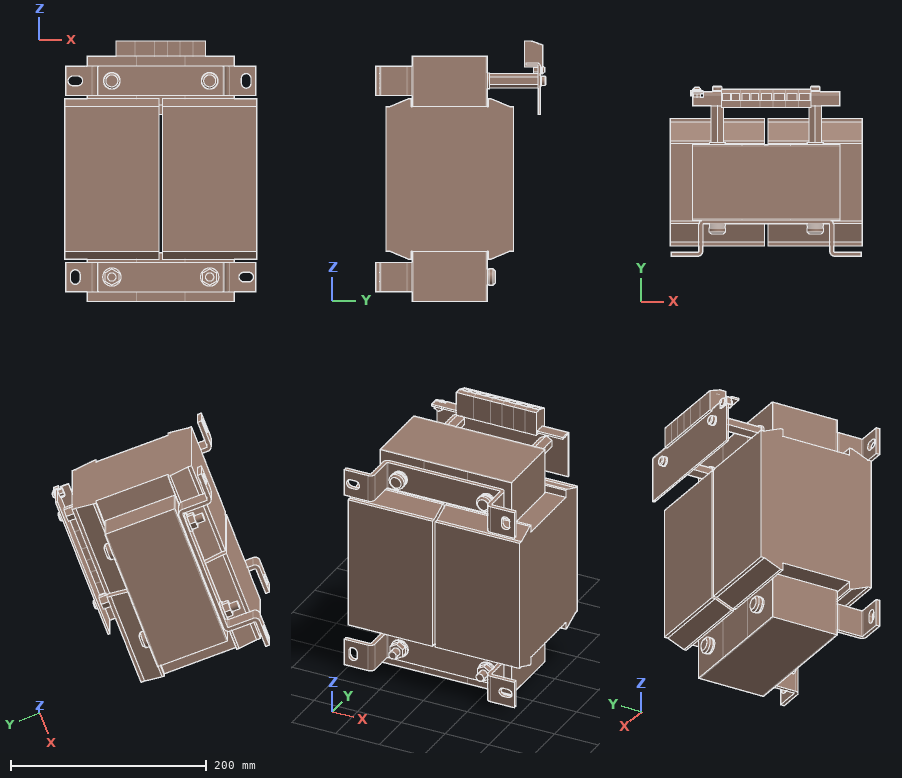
import cadquery as cq
import math


core_width = 150.3
core_depth = 76.8
core_height = 250.8
yoke_height = 50.0
leg_width = 50.5
sheet_thickness = 1.3
core_front = core_depth / 2
mid_z = core_height / 2

coil_pair_width = 196.5
coil_outer_x = coil_pair_width / 2
coil_gap = 3.2
coil_depth = 130.5
coil_peak_height = 164.2
coil_edge_height = 148.0
coil_rim_width = 4.0
coil_notch_depth = 79.0
coil_lip_width = 2.7

bracket_height = 30.0
bracket_thickness = 4.3
bracket_reach = 75.7
bracket_half_length = 97.3
riser_outer_x = 69.0
bend_inner_radius = 1.0
bend_outer_radius = bend_inner_radius + bracket_thickness
slot_length = 14.7
slot_width = 9.5
slot_pitch_x = 174.5
slot_x = slot_pitch_x / 2

bolt_pitch_x = 100.0
bolt_x = bolt_pitch_x / 2
bolt_pitch_z = 200.5
upper_bolt_z = mid_z + bolt_pitch_z / 2
lower_bolt_z = mid_z - bolt_pitch_z / 2
head_radius = 8.5
head_length = 6.5
head_chamfer = 2.5
washer_radius = 8.3
washer_thickness = 2.0
lock_ring_radius = 8.0
lock_ring_thickness = 1.9
nut_flange_radius = 9.3
nut_across_flats = 14.5
nut_length = 6.5
bolt_radius = 4.3
bolt_end_length = 17.3

standoff_across_flats = 13.0
standoff_washer_radius = 8.3
standoff_washer_thickness = 2.5

plate_width = core_width
plate_thickness = 2.0
plate_back = 92.5
plate_bottom = 191.0
plate_top = 244.0
flange_front = 78.0
plate_bend_radius = 3.2
plate_inner = plate_back - plate_thickness
notch_width = 11.0
notch_front = 87.0
screw_top_y = 98.0
screw_head_radius = 4.8
screw_head_chamfer = 1.0
screw_washer_radius = 5.0
screw_washer_thickness = 1.3

earth_x = -71.0
earth_z = 237.0
earth_head_radius = 4.3
earth_head_top = 97.0
earth_head_chamfer = 2.0
earth_clamp_width = 13.0
earth_clamp_height = 8.0
earth_clamp_thickness = 1.3
earth_tab_thickness = 1.3
earth_tab_front = 88.2
earth_nut_end = 85.3
earth_nut_across_flats = 7.5

terminal_front = 76.2
terminal_back = 95.2
terminal_bottom = 239.5
terminal_top = 266.5
terminal_back_top = 262.3
terminal_flat_end = 83.5
terminal_start_x = -45.8
wide_terminal = 19.7
narrow_terminal = 13.0
pocket_back = 90.5
pocket_floor = 261.2
pocket_wall = 1.3
terminal_row = [(wide_terminal, 2)] * 2 + [(narrow_terminal, 1)] * 4


def box(x0, x1, y0, y1, z0, z1):
    return cq.Workplane("XY").box(x1 - x0, y1 - y0, z1 - z0, centered=False).translate((x0, y0, z0))


def disc(x, z, radius, y0, y1):
    return cq.Workplane("XZ", origin=(x, y0, z)).circle(radius).extrude(y0 - y1)


def hexagon(x, z, across_flats, y0, y1):
    """Hexagonal bar along Y with two corners pointing up and down."""
    corner_diameter = across_flats / math.cos(math.pi / 6)
    sketch = cq.Workplane("XZ", origin=(x, y0, z)).transformed(rotate=(0, 0, 90))
    return sketch.polygon(6, corner_diameter).extrude(y0 - y1)


def core_parts():
    """Laminated core with a window, faced front and back by three thin sheets side by side."""
    half_width = core_width / 2
    window_half = half_width - leg_width
    stack_y = core_front - sheet_thickness
    window = box(-window_half, window_half, -core_depth, core_depth, yoke_height, core_height - yoke_height)
    parts = [box(-half_width, half_width, -stack_y, stack_y, 0, core_height).cut(window)]
    edges = [-half_width, -window_half, window_half, half_width]
    for y0 in (-core_front, stack_y):
        for x0, x1 in zip(edges, edges[1:]):
            parts.append(box(x0, x1, y0, y0 + sheet_thickness, 0, core_height).cut(window))
    return parts


def coil(side):
    """One coil block with sloped shoulders and a trough for each yoke; side is -1 or 1."""
    half_depth = coil_depth / 2
    half_notch = coil_notch_depth / 2
    half_peak = coil_peak_height / 2
    half_edge = coil_edge_height / 2
    shoulder = [
        (half_depth, half_edge),
        (half_depth - coil_rim_width, half_edge),
        (half_notch + coil_lip_width, half_peak),
        (half_notch, half_peak),
        (half_notch, half_edge),
    ]
    upper = shoulder + [(-y, z) for y, z in reversed(shoulder)]
    lower = [(-y, -z) for y, z in upper]
    width = coil_outer_x - coil_gap / 2
    middle_x = side * (coil_outer_x + coil_gap / 2) / 2
    sketch = cq.Workplane("YZ", origin=(middle_x - width / 2, 0, mid_z))
    return sketch.polyline(upper + lower).close().extrude(width)


def bracket(center_z, horizontal_slot_side):
    """Hat-shaped strap; one foot has a horizontal slot and the other a vertical slot."""
    base_y = -core_front
    foot_y = -bracket_reach
    riser_inner_x = riser_outer_x - bracket_thickness
    outer = [
        (riser_outer_x, base_y),
        (riser_outer_x, foot_y + bracket_thickness),
        (bracket_half_length, foot_y + bracket_thickness),
        (bracket_half_length, foot_y),
        (riser_inner_x, foot_y),
        (riser_inner_x, base_y - bracket_thickness),
    ]
    outline = outer + [(-x, y) for x, y in reversed(outer)]
    bottom_z = center_z - bracket_height / 2
    strap = cq.Workplane("XY", origin=(0, 0, bottom_z)).polyline(outline).close().extrude(bracket_height)

    def bend_edges(points):
        return cq.selectors.SumSelector(*[cq.NearestToPointSelector((x, y, center_z)) for x, y in points])

    for side in (-1, 1):
        outside = [(side * outer[0][0], outer[0][1]), (side * outer[4][0], outer[4][1])]
        inside = [(side * outer[1][0], outer[1][1]), (side * outer[5][0], outer[5][1])]
        strap = strap.edges("|Z").edges(bend_edges(outside)).fillet(bend_outer_radius)
        strap = strap.edges("|Z").edges(bend_edges(inside)).fillet(bend_inner_radius)
        angle = 0 if side == horizontal_slot_side else 90
        sketch = cq.Workplane("XZ", origin=(side * slot_x, 0, center_z))
        strap = strap.cut(sketch.slot2D(slot_length, slot_width, angle).extrude(2 * bracket_reach))
    return strap


def bolt_head(x, z, seat_y, direction):
    """Round chamfered head on a narrower lock ring; direction is the way it points along Y."""
    head_y = seat_y + direction * lock_ring_thickness
    end_y = head_y + direction * head_length
    head = disc(x, z, head_radius, head_y, end_y)
    return [
        disc(x, z, lock_ring_radius, seat_y, head_y),
        head.faces(">Y" if direction > 0 else "<Y").chamfer(head_chamfer),
    ]


def upper_bolt(x):
    """Washer and head on the front of the upper bracket."""
    washer_y = -core_front - bracket_thickness
    head_y = washer_y - washer_thickness
    washer = disc(x, upper_bolt_z, washer_radius, washer_y, head_y)
    return [washer] + bolt_head(x, upper_bolt_z, head_y, -1)


def lower_bolt(x):
    """Head behind the lower yoke; flanged nut and bolt end on the front of the bracket."""
    flange_y = -core_front - bracket_thickness
    nut_y = flange_y - washer_thickness
    front_parts = [
        disc(x, lower_bolt_z, nut_flange_radius, flange_y, nut_y),
        hexagon(x, lower_bolt_z, nut_across_flats, nut_y, nut_y - nut_length),
        disc(x, lower_bolt_z, bolt_radius, flange_y, flange_y - bolt_end_length),
    ]
    return front_parts + bolt_head(x, lower_bolt_z, core_front, 1)


def standoff(x):
    """Hexagonal spacer on a washer, with the screw that holds the angle plate to it."""
    spacer_y = core_front + standoff_washer_thickness
    head_y = plate_back + screw_washer_thickness
    head = disc(x, upper_bolt_z, screw_head_radius, head_y, screw_top_y)
    return [
        disc(x, upper_bolt_z, standoff_washer_radius, core_front, spacer_y),
        hexagon(x, upper_bolt_z, standoff_across_flats, spacer_y, plate_inner),
        disc(x, upper_bolt_z, screw_washer_radius, plate_back, head_y),
        head.faces(">Y").chamfer(screw_head_chamfer),
    ]


def angle_plate():
    """Upright plate with a flange bent forward, notched at the left end for the earth screw."""
    flange_bottom = plate_top - plate_thickness
    outline = [
        (plate_back, plate_bottom),
        (plate_back, plate_top),
        (flange_front, plate_top),
        (flange_front, flange_bottom),
        (plate_inner, flange_bottom),
        (plate_inner, plate_bottom),
    ]
    left_x = -plate_width / 2
    plate = cq.Workplane("YZ", origin=(left_x, 0, 0)).polyline(outline).close().extrude(plate_width)
    plate = plate.edges("|X and >Y and >Z").fillet(plate_bend_radius)
    flange_notch = box(left_x, left_x + notch_width, notch_front, plate_back, flange_bottom, plate_top)
    return plate.cut(flange_notch)


def earth_screw():
    """Screw with a clamp plate whose tab wraps the plate's end, and a nut on the front."""
    clamp_y = plate_back + earth_clamp_thickness
    half_width = earth_clamp_width / 2
    z0 = earth_z - earth_clamp_height / 2
    z1 = earth_z + earth_clamp_height / 2
    left_x = earth_x - half_width
    head = disc(earth_x, earth_z, earth_head_radius, clamp_y, earth_head_top)
    return [
        head.faces(">Y").chamfer(earth_head_chamfer),
        box(left_x, earth_x + half_width, plate_back, clamp_y, z0, z1),
        box(left_x, left_x + earth_tab_thickness, earth_tab_front, clamp_y, z0, z1),
        hexagon(earth_x, earth_z, earth_nut_across_flats, plate_inner, earth_nut_end),
    ]


def terminal(start_x, width, pocket_count):
    """Terminal with a sloped top at the back and a row of equal pockets along X."""
    outline = [
        (terminal_front, terminal_bottom),
        (terminal_back, terminal_bottom),
        (terminal_back, terminal_back_top),
        (terminal_flat_end, terminal_top),
        (terminal_front, terminal_top),
    ]
    body = cq.Workplane("YZ", origin=(start_x, 0, 0)).polyline(outline).close().extrude(width)
    pitch = (width - pocket_wall) / pocket_count
    for index in range(pocket_count):
        x0 = start_x + pocket_wall + index * pitch
        x1 = x0 + pitch - pocket_wall
        body = body.cut(box(x0, x1, terminal_flat_end, pocket_back, pocket_floor, terminal_top))
    return body


def terminals():
    parts = []
    start_x = terminal_start_x
    for width, pocket_count in terminal_row:
        parts.append(terminal(start_x, width, pocket_count))
        start_x += width
    return parts


parts = core_parts()
parts += [coil(-1), coil(1)]
parts += [bracket(upper_bolt_z, -1), bracket(lower_bolt_z, 1)]
for x in (-bolt_x, bolt_x):
    parts += upper_bolt(x) + lower_bolt(x) + standoff(x)
parts += [angle_plate()]
parts += earth_screw()
parts += terminals()

solids = [part.val() for part in parts]
result = cq.Workplane("XY").newObject([solids[0].fuse(*solids[1:])])